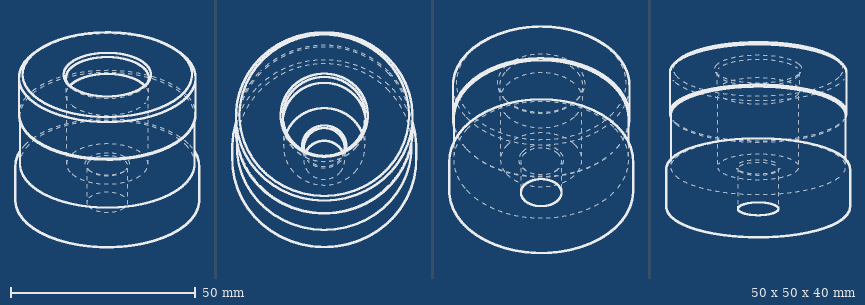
import cadquery as cq

height = 40.0
collar_radius = 25.0
collar_height = 12.0
collar_fillet = 0.75
neck_radius = 23.7
head_radius = 24.0
head_bottom = 27.0
head_taper_height = 0.5
head_chamfer = 1.0

mouth_radius = 11.85
mouth_depth = 1.0
guide_radius = 11.25
guide_depth = 6.25
pocket_radius = 11.0
pocket_taper_height = 0.5
pocket_lip_round = 0.5
pocket_floor = collar_height
hole_radius = 5.5
hole_chamfer = 0.55


def make_body():
    """Solid of revolution carrying all the outside steps."""
    profile = (
        cq.Workplane("XZ")
        .lineTo(collar_radius, 0)
        .lineTo(collar_radius, collar_height)
        .lineTo(neck_radius, collar_height)
        .lineTo(neck_radius, head_bottom)
        .lineTo(head_radius, head_bottom + head_taper_height)
        .lineTo(head_radius, height - head_chamfer)
        .lineTo(head_radius - head_chamfer, height)
        .lineTo(0, height)
        .close()
    )
    body = profile.revolve(360, (0, 0), (0, 1))
    collar_edges = cq.selectors.RadiusNthSelector(-1)
    return body.edges("%CIRCLE").edges(collar_edges).fillet(collar_fillet)


def make_cavity():
    """Stepped bore, open at both ends."""
    guide_bottom = height - guide_depth
    profile = (
        cq.Workplane("XZ")
        .lineTo(hole_radius, 0)
        .lineTo(hole_radius, pocket_floor - hole_chamfer)
        .lineTo(hole_radius + hole_chamfer, pocket_floor)
        .lineTo(pocket_radius, pocket_floor)
        .lineTo(pocket_radius, guide_bottom - pocket_taper_height)
        .lineTo(guide_radius, guide_bottom)
        .lineTo(guide_radius, height - mouth_depth)
        .lineTo(mouth_radius, height)
        .lineTo(0, height)
        .close()
    )
    cavity = profile.revolve(360, (0, 0), (0, 1))
    lip_edge = cavity.edges(cq.selectors.NearestToPointSelector((0, 0, guide_bottom - pocket_taper_height)))
    return lip_edge.fillet(pocket_lip_round)


result = make_body().cut(make_cavity())